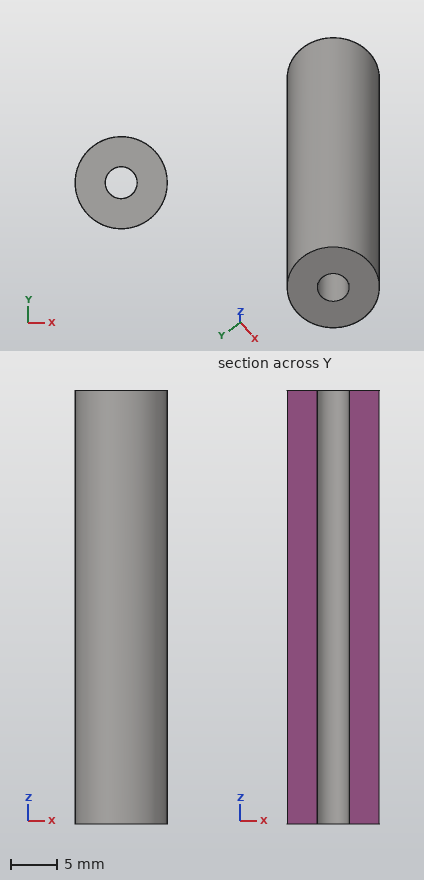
import cadquery as cq

length = 47.0
outer_diameter = 10.0
bore_diameter = 3.45

result = (
    cq.Workplane("XY")
    .circle(outer_diameter / 2)
    .circle(bore_diameter / 2)
    .extrude(length)
)